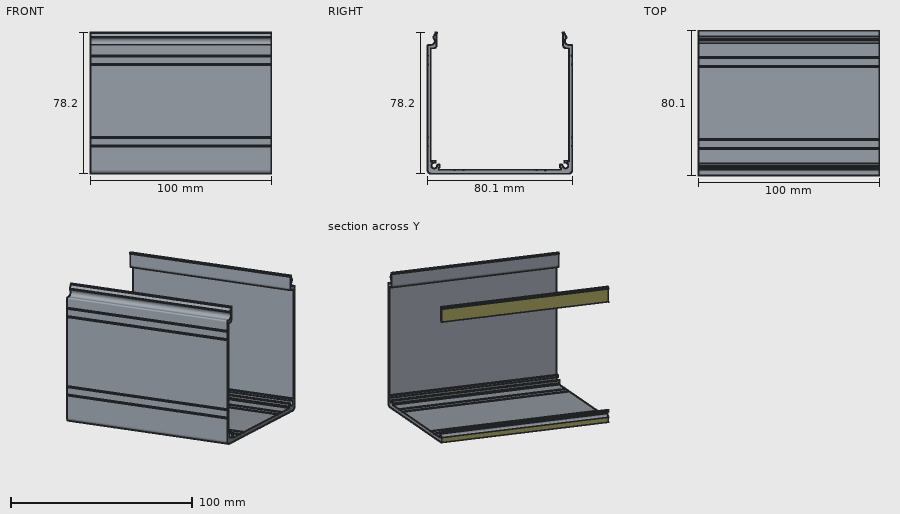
import cadquery as cq
import math

LENGTH = 100.0
WIDTH = 80.1
HEIGHT = 78.2
WALL = 2.0
FLOOR = 2.4
BOTTOM_RADIUS = 2.3

SHOULDER_TOP = 71.3
SHOULDER_BOTTOM = 69.3
SHOULDER_RADIUS = 0.8
HOOK_INNER = 5.2
HOOK_HEEL_RADIUS = 1.8

RECESS_RADIUS = 2.0
RECESS_INSET = 2.1
RECESS_END_ANGLE = math.radians(30)
NOSE_INSET = 3.2
NOSE_HEIGHT = 75.4
NOSE_HALF_HEIGHT = 0.3
NOSE_FLANK = 0.2
TIP_OUTER = 4.4
TIP_BASE = 77.6
BARB_INSET = 5.6
BARB_HEIGHT = 77.8
BARB_BASE = 77.4

SCREW_INSET = 3.8
SCREW_HEIGHT = 4.6
SCREW_RADIUS = 1.5
LIP_TOP = 7.3
LIP_END = 4.6
LIP_ROOT = 6.8
LIP_STEP_START = 2.5
LIP_STEP_END = 2.9
PRONG_TOP = 5.3
PRONG_SHOULDER = 4.9
PRONG_CROWN_START = 5.7
PRONG_OUTER = 6.9
PRONG_NECK = 6.4
PRONG_NECK_TOP = 3.3
PRONG_STEP_TOP = 3.6

GROOVE_WIDTH = 0.8
GROOVE_DEPTH = 0.4
WALL_GROOVE_HEIGHTS = (15.4, 20.2, 60.4, 65.2)
FLOOR_GROOVE_INSETS = (15.0, 19.9)

HALF_WIDTH = WIDTH / 2


def inset(distance, height):
    """Section point (Y, Z), measured inward from the outer face of the -Y wall."""
    return (distance - HALF_WIDTH, height)


def recess_point(angle):
    return inset(
        RECESS_INSET + RECESS_RADIUS * math.cos(angle),
        SHOULDER_TOP + RECESS_RADIUS * (1 + math.sin(angle)),
    )


def corner_arc(profile, centre_inset, centre_height, radius, middle_degrees, end_degrees):
    """Continue the profile with an arc about a given centre."""
    def point(degrees):
        angle = math.radians(degrees)
        return inset(
            centre_inset + radius * math.cos(angle),
            centre_height + radius * math.sin(angle),
        )

    return profile.threePointArc(point(middle_degrees), point(end_degrees))


def draw_hook(profile):
    """Outline from the outer shoulder over the hook and down to the inner wall."""
    profile = profile.lineTo(*recess_point(math.radians(-90)))
    profile = profile.threePointArc(recess_point(math.radians(-30)), recess_point(RECESS_END_ANGLE))
    profile = profile.lineTo(*inset(NOSE_INSET + NOSE_FLANK, NOSE_HEIGHT - NOSE_HALF_HEIGHT))
    profile = profile.threePointArc(
        inset(NOSE_INSET, NOSE_HEIGHT),
        inset(NOSE_INSET + NOSE_FLANK, NOSE_HEIGHT + NOSE_HALF_HEIGHT),
    )
    profile = profile.lineTo(*inset(TIP_OUTER, TIP_BASE)).lineTo(*inset(TIP_OUTER, HEIGHT))
    profile = profile.lineTo(*inset(HOOK_INNER, HEIGHT)).lineTo(*inset(BARB_INSET, BARB_HEIGHT))
    profile = profile.lineTo(*inset(HOOK_INNER, BARB_BASE))
    profile = profile.lineTo(*inset(HOOK_INNER, SHOULDER_BOTTOM + HOOK_HEEL_RADIUS))
    profile = corner_arc(
        profile, HOOK_INNER - HOOK_HEEL_RADIUS, SHOULDER_BOTTOM + HOOK_HEEL_RADIUS,
        HOOK_HEEL_RADIUS, -45, -90,
    )
    return profile.lineTo(*inset(WALL, SHOULDER_BOTTOM))


def draw_screw_channel(profile):
    """Outline from the inner wall around the lip, the round channel and the prong."""
    profile = profile.lineTo(*inset(WALL, LIP_ROOT)).lineTo(*inset(LIP_STEP_START, LIP_ROOT))
    profile = profile.lineTo(*inset(LIP_STEP_END, LIP_TOP)).lineTo(*inset(LIP_END, LIP_TOP))
    profile = profile.lineTo(*inset(LIP_END, SCREW_HEIGHT + SCREW_RADIUS))
    profile = profile.lineTo(*inset(SCREW_INSET, SCREW_HEIGHT + SCREW_RADIUS))
    profile = corner_arc(profile, SCREW_INSET, SCREW_HEIGHT, SCREW_RADIUS, 225, 360)
    profile = profile.lineTo(*inset(SCREW_INSET + SCREW_RADIUS, PRONG_SHOULDER))
    profile = profile.lineTo(*inset(PRONG_CROWN_START, PRONG_SHOULDER))
    profile = profile.threePointArc(
        inset((PRONG_CROWN_START + PRONG_OUTER) / 2, PRONG_TOP),
        inset(PRONG_OUTER, PRONG_SHOULDER),
    )
    profile = profile.lineTo(*inset(PRONG_OUTER, PRONG_STEP_TOP))
    profile = profile.lineTo(*inset(PRONG_NECK, PRONG_NECK_TOP))
    return profile.lineTo(*inset(PRONG_NECK, FLOOR))


def half_channel():
    """The -Y half of the channel, up to the middle plane."""
    profile = cq.Workplane("YZ").moveTo(0, 0).lineTo(*inset(BOTTOM_RADIUS, 0))
    profile = corner_arc(profile, BOTTOM_RADIUS, BOTTOM_RADIUS, BOTTOM_RADIUS, 225, 180)
    profile = profile.lineTo(*inset(0, SHOULDER_TOP - SHOULDER_RADIUS))
    profile = corner_arc(
        profile, SHOULDER_RADIUS, SHOULDER_TOP - SHOULDER_RADIUS, SHOULDER_RADIUS, 135, 90
    )
    profile = draw_hook(profile)
    profile = draw_screw_channel(profile)
    return profile.lineTo(0, FLOOR).close().extrude(LENGTH)


def groove(corners):
    return cq.Workplane("YZ").polyline(corners).close().extrude(LENGTH)


def wall_groove(height):
    half = GROOVE_WIDTH / 2
    return groove([inset(0, height - half), inset(GROOVE_DEPTH, height), inset(0, height + half)])


def floor_groove(distance):
    half = GROOVE_WIDTH / 2
    return groove([
        inset(distance - half, FLOOR),
        inset(distance, FLOOR - GROOVE_DEPTH),
        inset(distance + half, FLOOR),
    ])


half = half_channel()
for groove_height in WALL_GROOVE_HEIGHTS:
    half = half.cut(wall_groove(groove_height))
for groove_inset in FLOOR_GROOVE_INSETS:
    half = half.cut(floor_groove(groove_inset))

result = half.union(half.mirror("XZ")).clean()